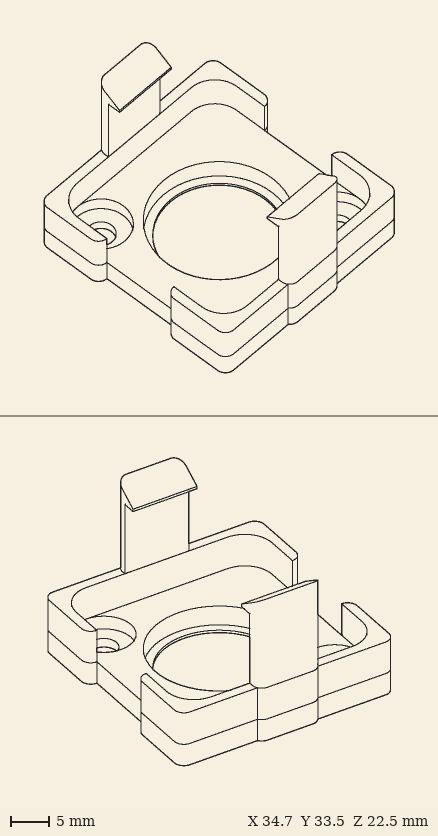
import cadquery as cq

frame_size = 33.5
clip_span = 34.7
wall_thickness = 1.5
pocket_size = frame_size - 2 * wall_thickness
edge_radius = wall_thickness

base_height = 3.4
wall_height = 5.0
wall_top = base_height + wall_height
clip_top = 22.45
hook_underside = 19.4
hook_tip_top = 19.78

wall_gap = 12.0

clip_width = 10.0
hook_overhang = 2.0
clip_outer_x = clip_span / 2
clip_inner_x = pocket_size / 2
hook_tip_x = clip_inner_x - hook_overhang
clip_thickness = clip_outer_x - clip_inner_x

bore_diameter = 20.0
bore_depth = 3.0
through_diameter = 17.5

counterbore_diameter = 8.5
counterbore_depth = 2.0
screw_hole_diameter = 4.0
pocket_corner_radius = counterbore_diameter / 2
screw_offset = pocket_size / 2 - pocket_corner_radius


def clip_column(bottom, height):
    """Column with the clip's footprint on the +X side, its outer corners rounded."""
    return (
        cq.Workplane("XY", origin=(clip_inner_x + clip_thickness / 2, 0, bottom))
        .rect(clip_thickness, clip_width)
        .extrude(height)
        .edges("|Z and >X")
        .fillet(edge_radius)
    )


def wall_block(bottom, height):
    """Rounded block on the +X side from the opening out to the clip's outer face."""
    length = (frame_size - wall_gap) / 2
    block = (
        cq.Workplane("XY", origin=(wall_gap / 2 + length / 2, 0, bottom))
        .rect(length, frame_size)
        .extrude(height)
        .edges("|Z")
        .fillet(edge_radius)
    )
    return block.union(clip_column(bottom, height))


def opposite(body):
    """Copy of a +X body turned half a turn about Z onto the -X side."""
    return body.rotate((0, 0, 0), (0, 0, 1), 180)


def make_base():
    """Square plate with thickened sides, a stepped bore and two screw holes."""
    side = wall_block(0, base_height)
    plate = cq.Workplane("XY").rect(pocket_size, pocket_size).extrude(base_height)
    plate = plate.union(side).union(opposite(side))
    screw_points = [(screw_offset, screw_offset), (-screw_offset, -screw_offset)]
    return (
        plate.faces(">Z")
        .workplane(origin=(0, 0, base_height))
        .cboreHole(through_diameter, bore_diameter, bore_depth)
        .faces(">Z")
        .workplane(origin=(0, 0, base_height))
        .pushPoints(screw_points)
        .cboreHole(screw_hole_diameter, counterbore_diameter, counterbore_depth)
    )


def make_wall():
    """C-shaped +X wall left around the round-cornered pocket."""
    pocket = (
        cq.Workplane("XY", origin=(0, 0, base_height))
        .rect(pocket_size, pocket_size)
        .extrude(wall_height)
        .edges("|Z")
        .fillet(pocket_corner_radius)
    )
    return wall_block(base_height, wall_height).cut(pocket)


def make_clip():
    """Upright +X arm with an inward hook under a sloping top."""
    profile = [
        (clip_outer_x, wall_top),
        (clip_outer_x, clip_top),
        (hook_tip_x, hook_tip_top),
        (hook_tip_x, hook_underside),
        (clip_inner_x, hook_underside),
        (clip_inner_x, wall_top),
    ]
    return (
        cq.Workplane("XZ")
        .polyline(profile)
        .close()
        .extrude(clip_width / 2, both=True)
        .edges("|Z and >X")
        .fillet(edge_radius)
    )


base = make_base()
bodies = [base.val()]
for side_body in (make_wall(), make_clip()):
    bodies.append(side_body.val())
    bodies.append(opposite(side_body).val())

result = cq.Compound.makeCompound(bodies)